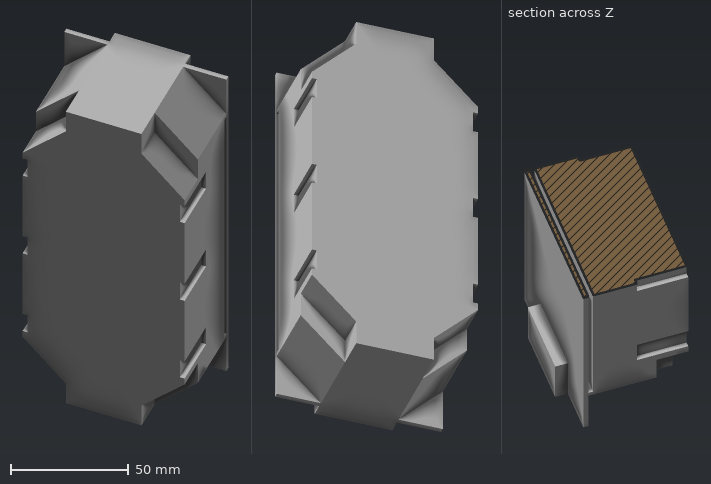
import cadquery as cq

WIDTH = 75.0
DEPTH = 53.0
HEIGHT = 171.0

CORNER_LEG = 20.0
FRONT_STEP_DROP = 11.5
FRONT_STEP_DEPTH = 14.3

PLATE_THICKNESS = 2.2
REAR_BLOCK_DEPTH = 5.7
SLOT_GAP = 2.2
SLOT_END_MARGIN = 21.9

NOTCH_COUNT = 3
NOTCH_PITCH = 45.6
NOTCH_HEIGHT = 10.0
NOTCH_LENGTH = 23.2
NOTCH_DEPTH = 2.2

plate_rear_y = DEPTH - REAR_BLOCK_DEPTH
plate_front_y = plate_rear_y - PLATE_THICKNESS
block_width = WIDTH - 2 * CORNER_LEG
SIDES = (-1, 1)


def box(size_x, size_y, size_z, center_x, front_y, center_z):
    """Box centred in X and Z that starts at front_y and grows toward +Y."""
    return cq.Workplane("XY").box(size_x, size_y, size_z).translate(
        (center_x, front_y + size_y / 2, center_z)
    )


def make_body():
    """Octagonal block in front of the flange plate."""
    body = box(WIDTH, plate_front_y, HEIGHT, 0, 0, 0)
    return body.edges("|Y").chamfer(CORNER_LEG)


def make_plate():
    """Full-size rectangular flange."""
    return box(WIDTH, PLATE_THICKNESS, HEIGHT, 0, plate_front_y, 0)


def make_end_block(end):
    """Block behind the plate at the top (end = 1) or bottom (end = -1)."""
    center_z = end * (HEIGHT - CORNER_LEG) / 2
    return box(block_width, REAR_BLOCK_DEPTH, CORNER_LEG, 0, plate_rear_y, center_z)


def make_corner_step(side, end):
    """Deeper corner cut that reaches back from the front face."""
    outer_x = side * WIDTH / 2
    inner_x = side * block_width / 2
    end_z = end * HEIGHT / 2
    step_z = end * (HEIGHT / 2 - FRONT_STEP_DROP)
    side_z = end * (HEIGHT / 2 - FRONT_STEP_DROP - CORNER_LEG)
    outline = [(outer_x, end_z), (inner_x, end_z), (inner_x, step_z), (outer_x, side_z)]
    return cq.Workplane("XZ").polyline(outline).close().extrude(-FRONT_STEP_DEPTH)


def make_slot():
    """Through slot along X between the body and the plate."""
    slot_height = HEIGHT - 2 * SLOT_END_MARGIN
    return box(WIDTH, SLOT_GAP, slot_height, 0, plate_front_y - SLOT_GAP, 0)


def make_notch(side, index):
    """Side notch; index counts from the lowest one."""
    center_x = side * (WIDTH - NOTCH_DEPTH) / 2
    center_z = (index - (NOTCH_COUNT - 1) / 2) * NOTCH_PITCH
    return box(NOTCH_DEPTH, NOTCH_LENGTH, NOTCH_HEIGHT, center_x, 0, center_z)


result = make_body().union(make_plate())
for end in SIDES:
    result = result.union(make_end_block(end))
for side in SIDES:
    for end in SIDES:
        result = result.cut(make_corner_step(side, end))
    for index in range(NOTCH_COUNT):
        result = result.cut(make_notch(side, index))
result = result.cut(make_slot())